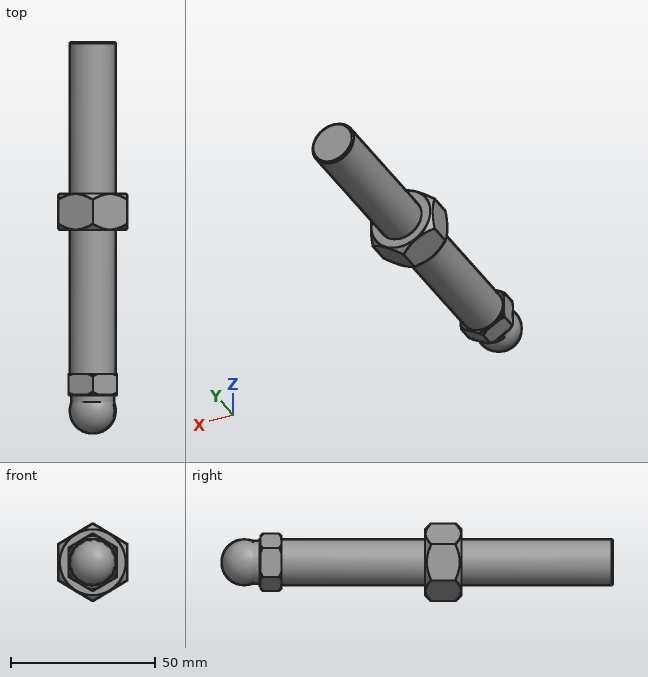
import cadquery as cq
import math

TOTAL_LENGTH = 135.7
FRONT_Y = -TOTAL_LENGTH / 2
BACK_Y = TOTAL_LENGTH / 2

ROD_RADIUS = 8.0
ROD_END_CHAMFER = 0.5

BALL_RADIUS = ROD_RADIUS
BALL_CENTER_Y = FRONT_Y + BALL_RADIUS
NECK_RADIUS = 7.5

TIP_NUT_FRONT_Y = -54.3
TIP_NUT_LENGTH = 7.2
TIP_NUT_FLATS = 16.8
TIP_NUT_CORNERS = 20.0
TIP_NUT_SIDE_EDGE = 10.0
TIP_NUT_FACE_RADIUS = 9.1
TIP_COLLAR_RADIUS = 8.1
TIP_COLLAR_LENGTH = 0.4

LOCK_NUT_FRONT_Y = 2.7
LOCK_NUT_LENGTH = 12.6
LOCK_NUT_FLATS = 24.0
LOCK_NUT_CORNERS = 27.0
LOCK_NUT_SIDE_EDGE = 12.5
LOCK_NUT_FACE_RADIUS = 11.4

BLANK_ALLOWANCE = 0.1


def cylinder_along_y(radius, start_y, end_y):
    """Solid cylinder on the Y axis between two Y positions."""
    return cq.Workplane("XZ", origin=(0, start_y, 0)).circle(radius).extrude(start_y - end_y)


def hex_nut(front_y, length, flats, corners, side_edge, face_radius):
    """Hexagon on the Y axis, its corners turned off at 45 degrees at both ends."""
    half_corners = corners / 2
    side_z = side_edge / 2
    outline = [
        (0, half_corners),
        (flats / 2, side_z),
        (flats / 2, -side_z),
        (0, -half_corners),
        (-flats / 2, -side_z),
        (-flats / 2, side_z),
    ]
    hexagon = cq.Workplane("XZ", origin=(0, front_y, 0)).polyline(outline).close().extrude(-length)
    blank_radius = max(half_corners, math.hypot(flats / 2, side_z)) + BLANK_ALLOWANCE
    turned_blank = cylinder_along_y(blank_radius, front_y, front_y + length)
    turned_blank = turned_blank.edges("%CIRCLE").chamfer(blank_radius - face_radius)
    return hexagon.intersect(turned_blank)


def rod():
    """Plain rod from inside the tip nut to its chamfered back end."""
    start_y = TIP_NUT_FRONT_Y + TIP_NUT_LENGTH / 2
    return cylinder_along_y(ROD_RADIUS, start_y, BACK_Y).faces(">Y").chamfer(ROD_END_CHAMFER)


def ball_tip():
    """Ball at the front end, joined to the tip nut by a narrower neck and a thin collar."""
    ball = cq.Workplane("XY").sphere(BALL_RADIUS).translate((0, BALL_CENTER_Y, 0))
    neck = cylinder_along_y(NECK_RADIUS, BALL_CENTER_Y, TIP_NUT_FRONT_Y + TIP_NUT_LENGTH / 2)
    collar = cylinder_along_y(TIP_COLLAR_RADIUS, TIP_NUT_FRONT_Y - TIP_COLLAR_LENGTH, TIP_NUT_FRONT_Y)
    return ball.union(neck).union(collar)


tip_nut = hex_nut(
    TIP_NUT_FRONT_Y,
    TIP_NUT_LENGTH,
    TIP_NUT_FLATS,
    TIP_NUT_CORNERS,
    TIP_NUT_SIDE_EDGE,
    TIP_NUT_FACE_RADIUS,
)
lock_nut = hex_nut(
    LOCK_NUT_FRONT_Y,
    LOCK_NUT_LENGTH,
    LOCK_NUT_FLATS,
    LOCK_NUT_CORNERS,
    LOCK_NUT_SIDE_EDGE,
    LOCK_NUT_FACE_RADIUS,
)

result = rod().union(tip_nut).union(lock_nut).union(ball_tip())